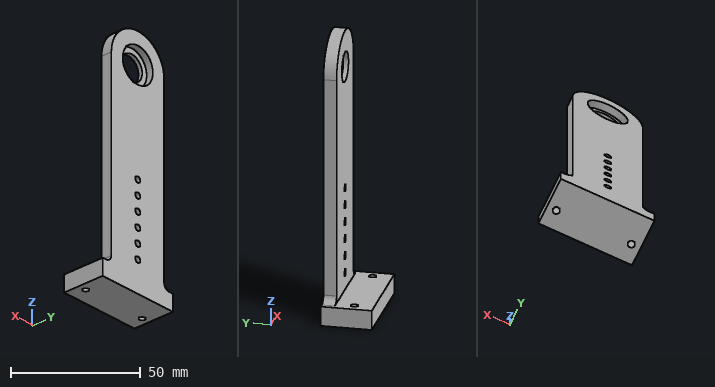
import cadquery as cq

base_width = 40.0
base_depth = 20.25
base_height = 8.0

total_height = 115.0
plate_width = 30.0
plate_thickness = 5.25
top_radius = plate_width / 2
arch_height = total_height - top_radius

foot_radius = 3.0

bore_diameter = 12.0
seat_diameter = 17.1
seat_depth = 3.25

small_hole_diameter = 2.8
row_count = 6
row_pitch = 7.0
row_first_height = 15.0
base_hole_spacing = 32.0
base_hole_setback = 12.5


def make_base():
    return (
        cq.Workplane("XY")
        .box(base_width, base_depth, base_height, centered=(True, False, False))
        .translate((0, -base_depth, 0))
    )


def make_plate():
    """Round-topped plate with its rear face flush with the base."""
    return (
        cq.Workplane("XZ")
        .moveTo(-top_radius, base_height)
        .lineTo(-top_radius, arch_height)
        .threePointArc((0, total_height), (top_radius, arch_height))
        .lineTo(top_radius, base_height)
        .close()
        .extrude(plate_thickness)
    )


def make_foot(side):
    """Concave fillet on one side of the plate; side is -1 or +1."""
    inner_x = side * plate_width / 2
    outer_x = side * (plate_width / 2 + foot_radius)
    return (
        cq.Workplane("XZ")
        .moveTo(inner_x, base_height)
        .lineTo(outer_x, base_height)
        .radiusArc((inner_x, base_height + foot_radius), side * foot_radius)
        .close()
        .extrude(plate_thickness)
    )


def rear_drill(diameter, depth, height):
    """Cylinder on the plate centreline, entering from the rear face."""
    return (
        cq.Workplane("XZ")
        .center(0, height)
        .circle(diameter / 2)
        .extrude(depth)
    )


def cut_bore(body):
    bore = rear_drill(bore_diameter, plate_thickness, arch_height)
    seat = rear_drill(seat_diameter, seat_depth, arch_height)
    return body.cut(bore).cut(seat)


def cut_hole_row(body):
    for index in range(row_count):
        height = row_first_height + index * row_pitch
        body = body.cut(rear_drill(small_hole_diameter, plate_thickness, height))
    return body


def cut_base_holes(body):
    hole_x = base_hole_spacing / 2
    drills = (
        cq.Workplane("XY")
        .pushPoints([(-hole_x, -base_hole_setback), (hole_x, -base_hole_setback)])
        .circle(small_hole_diameter / 2)
        .extrude(base_height)
    )
    return body.cut(drills)


body = make_base().union(make_plate())
for side in (-1, 1):
    body = body.union(make_foot(side))
body = cut_bore(body)
body = cut_hole_row(body)
result = cut_base_holes(body)